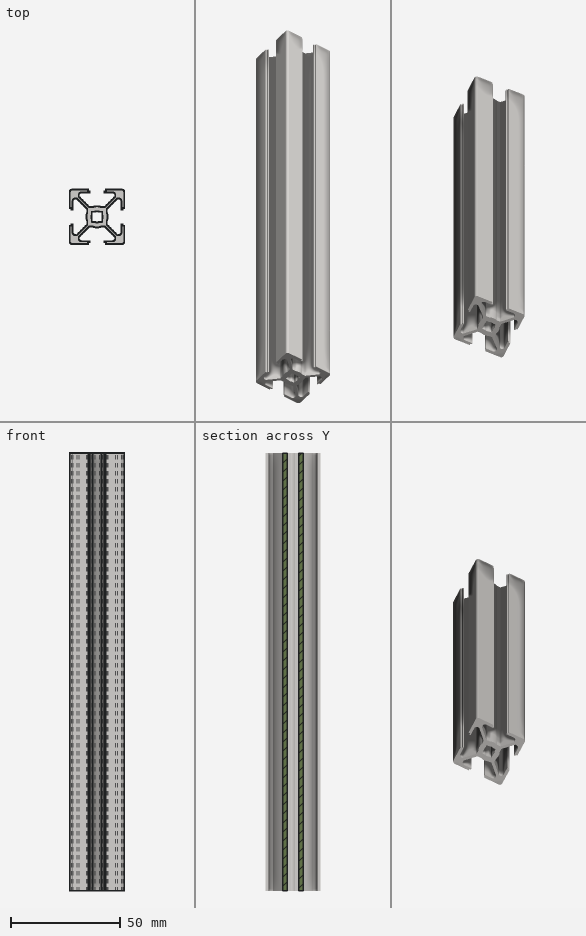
import cadquery as cq

length = 200.0
width = 25.0
corner_radius = 1.2

slot_mouth_width = 8.0
slot_throat_width = 6.5
lip_thickness = 1.5
mouth_step = 0.8
pocket_width = 16.5
pocket_radius = 1.2

web_thickness = 1.3
hub_width = 9.0
hub_diameter = 9.8
bore_width = 4.5
bore_diameter = 5.0

half_width = width / 2
lip_y = half_width - lip_thickness
step_y = half_width - mouth_step
half_mouth = slot_mouth_width / 2
half_throat = slot_throat_width / 2
half_pocket = pocket_width / 2
half_hub = hub_width / 2
web_offset = web_thickness / 2**0.5


def rounded_square(square_width, circle_diameter):
    """Square bar whose sides bulge where a concentric cylinder breaks through."""
    square = cq.Workplane("XY").rect(square_width, square_width).extrude(length)
    cylinder = cq.Workplane("XY").circle(circle_diameter / 2).extrude(length)
    return square.union(cylinder)


def slot_cutter():
    """T-slot on the +Y side: stepped mouth, wide pocket and diagonal web faces."""
    pocket = (
        cq.Workplane("XY")
        .polyline([
            (-half_pocket, lip_y),
            (half_pocket, lip_y),
            (half_pocket, half_pocket + web_offset),
            (half_hub - web_offset, half_hub),
            (web_offset - half_hub, half_hub),
            (-half_pocket, half_pocket + web_offset),
        ])
        .close()
        .extrude(length)
    )
    outer_corners = cq.selectors.BoxSelector(
        (-width, lip_y - pocket_radius / 2, 0), (width, width, length)
    )
    pocket = pocket.edges("|Z").edges(outer_corners).fillet(pocket_radius)
    mouth = (
        cq.Workplane("XY")
        .polyline([
            (-half_throat, lip_y),
            (half_throat, lip_y),
            (half_throat, step_y),
            (half_mouth, step_y),
            (half_mouth, half_width),
            (-half_mouth, half_width),
            (-half_mouth, step_y),
            (-half_throat, step_y),
        ])
        .close()
        .extrude(length)
    )
    return pocket.union(mouth)


result = cq.Workplane("XY").rect(width, width).extrude(length)
result = result.edges("|Z").fillet(corner_radius)

slot = slot_cutter()
for side in range(4):
    result = result.cut(slot.rotate((0, 0, 0), (0, 0, 1), 90 * side))

result = result.union(rounded_square(hub_width, hub_diameter))
result = result.cut(rounded_square(bore_width, bore_diameter))